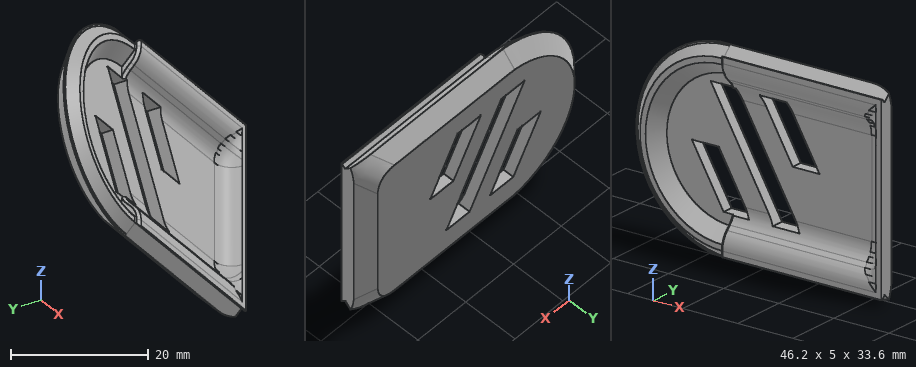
import cadquery as cq
import math

LENGTH = 46.2
WIDTH = 33.6
DEPTH = 5.0
HALF_WIDTH = WIDTH / 2
BACK_RADIUS = 16.9
SQUARE_END = LENGTH - BACK_RADIUS
BEYOND = 2 * LENGTH

RIDGE_DEPTH = 2.5
RIM_DEPTH = 4.2
LIP_FLARE = 0.6
BACK_CORNER_RADIUS = 5.0
BACK_BAND_DEPTH = 2.7
BACK_HALF_WIDTH = HALF_WIDTH - RIDGE_DEPTH
RIM_HALF_WIDTH = HALF_WIDTH - (RIM_DEPTH - RIDGE_DEPTH)
LIP_HALF_WIDTH = RIM_HALF_WIDTH + LIP_FLARE

FLOOR_THICKNESS = 2.0
WALL = 1.0
RAIL_RADIUS = 4.0
RAIL_ANGLE = math.radians(45)
MOUTH_CHAMFER = 0.45
ROUND_FLOOR_RADIUS = 11.9
POCKET_DEPTH = DEPTH - FLOOR_THICKNESS
POCKET_HALF_WIDTH = LIP_HALF_WIDTH - WALL
POCKET_END = SQUARE_END - WALL
END_FILLET = POCKET_DEPTH
FILLET_TIP = 0.02

SLOT_HALF_HEIGHT = 10.0
SLOT_WIDTH = 4.85
SLOT_PITCH = 9.15
SLOT_CENTER_X = 4.25
SLOT_LEAN = math.tan(math.radians(30))

ARC_RUN = RAIL_RADIUS * math.sin(RAIL_ANGLE)
ARC_DROP = RAIL_RADIUS * (1 - math.cos(RAIL_ANGLE))
FLAT_RUN = (POCKET_DEPTH - 2 * ARC_DROP) / math.tan(RAIL_ANGLE)
CONVEX_CENTER = (RAIL_RADIUS - DEPTH, POCKET_HALF_WIDTH)
CONCAVE_CENTER = (-FLOOR_THICKNESS - RAIL_RADIUS, POCKET_HALF_WIDTH - 2 * ARC_RUN - FLAT_RUN)


def convex_point(angle, inset=0.0):
    """Point (y, z) on the upper rail arc, where the flank slopes by angle."""
    radius = RAIL_RADIUS - inset
    y, z = CONVEX_CENTER
    return (y - radius * math.cos(angle), z - radius * math.sin(angle))


def concave_point(angle, inset=0.0):
    """Point (y, z) on the lower rail arc, where the flank slopes by angle."""
    radius = RAIL_RADIUS + inset
    y, z = CONCAVE_CENTER
    return (y + radius * math.cos(angle), z + radius * math.sin(angle))


def mirrored(points):
    """The same (y, z) points on the other side of Z = 0, in reverse order."""
    return [(y, -z) for y, z in reversed(points)]


def edge_bar(x_start, x_end):
    """Bar with the bevelled and lipped outer profile on both long sides."""
    side = [
        (0, BACK_HALF_WIDTH),
        (-RIDGE_DEPTH, HALF_WIDTH),
        (-RIM_DEPTH, RIM_HALF_WIDTH),
        (-RIM_DEPTH - LIP_FLARE, LIP_HALF_WIDTH),
        (-DEPTH, LIP_HALF_WIDTH),
    ]
    plane = cq.Workplane("YZ", origin=(x_start, 0, 0))
    return plane.polyline(side + mirrored(side)).close().extrude(x_end - x_start)


def back_envelope():
    """Block widening by 45 degrees from the back face, with its +X corners rounded."""
    back_end = SQUARE_END - RIDGE_DEPTH
    block = (
        cq.Workplane("XZ")
        .rect(2 * back_end, 2 * BACK_HALF_WIDTH)
        .workplane(offset=DEPTH)
        .rect(2 * (back_end + DEPTH), 2 * (BACK_HALF_WIDTH + DEPTH))
        .loft(ruled=True)
    )
    return block.edges("not #Y").edges(">X").fillet(BACK_CORNER_RADIUS)


def half_disc(profile):
    """The -X half of an (x, y) profile turned about the Y axis."""
    disc = cq.Workplane("XY").polyline(profile).close().revolve(360, (0, 0), (0, 1))
    left_side = cq.Workplane("XY").box(BEYOND, BEYOND, BEYOND).translate((-BEYOND / 2, 0, 0))
    return disc.intersect(left_side)


def round_end():
    """Half dish with a conical inner wall and a slightly larger back."""
    dish = half_disc([
        (0, 0),
        (BACK_HALF_WIDTH, 0),
        (HALF_WIDTH, -RIDGE_DEPTH),
        (RIM_HALF_WIDTH, -RIM_DEPTH),
        (ROUND_FLOOR_RADIUS + RIM_DEPTH - FLOOR_THICKNESS, -RIM_DEPTH),
        (ROUND_FLOOR_RADIUS, -FLOOR_THICKNESS),
        (0, -FLOOR_THICKNESS),
    ])
    back = half_disc([
        (0, 0),
        (BACK_RADIUS - RIDGE_DEPTH, 0),
        (BACK_RADIUS, -RIDGE_DEPTH),
        (BACK_RADIUS, -BACK_BAND_DEPTH),
        (BACK_HALF_WIDTH, -BACK_BAND_DEPTH),
        (BACK_HALF_WIDTH, -FLOOR_THICKNESS),
        (0, -FLOOR_THICKNESS),
    ])
    return dish.union(back.intersect(edge_bar(-LENGTH, 0)))


def pocket_section(x, inset):
    """Pocket cross-section cut inset deeper into the rails, with wings over the rail tops."""
    flank = [
        (-2 * DEPTH, WIDTH),
        (inset - DEPTH, WIDTH),
        convex_point(0, inset),
        convex_point(RAIL_ANGLE / 2, inset),
        convex_point(RAIL_ANGLE, inset),
        concave_point(RAIL_ANGLE, inset),
        concave_point(RAIL_ANGLE / 2, inset),
        concave_point(0, inset),
    ]
    start, wing, top, convex_mid, convex_end, concave_start, concave_mid, foot = flank
    far_foot, far_mid, far_start, far_end, far_convex, far_top, far_wing, far_above = mirrored(flank)
    return (
        cq.Workplane("YZ", origin=(x, 0, 0))
        .moveTo(*start)
        .lineTo(*wing)
        .lineTo(*top)
        .threePointArc(convex_mid, convex_end)
        .lineTo(*concave_start)
        .threePointArc(concave_mid, foot)
        .lineTo(*far_foot)
        .threePointArc(far_mid, far_start)
        .lineTo(*far_end)
        .threePointArc(far_convex, far_top)
        .lineTo(*far_wing)
        .lineTo(*far_above)
        .close()
    )


def pocket():
    """Pocket between the rails, chamfered where it opens into the round end."""
    straight = pocket_section(0, 0).extrude(POCKET_END)
    wide = pocket_section(0, MOUTH_CHAMFER).val()
    narrow = pocket_section(MOUTH_CHAMFER, 0).val()
    mouth = cq.Workplane(cq.Solid.makeLoft([wide, narrow], True))
    above_floor = cq.Workplane("XY").box(BEYOND, BEYOND, BEYOND)
    above_floor = above_floor.translate((0, -FLOOR_THICKNESS - BEYOND / 2, 0))
    return straight, mouth.intersect(above_floor)


def fillet_section(contact, angle):
    """Outline of the end-wall fillet above one contact point on the rail flank.

    A ball touches the flank, sloping by angle there, and the front edge of the end wall.
    """
    gap = contact[0] + DEPTH
    height = gap / math.cos(angle)
    reach = math.sqrt(END_FILLET**2 - (END_FILLET * math.cos(angle) - gap) ** 2)
    radius = (reach**2 + height**2) / (2 * height)
    half_sweep = math.atan2(reach, radius - height) / 2

    def point(from_wall, off_flank):
        y = contact[0] - off_flank * math.cos(angle)
        z = contact[1] - off_flank * math.sin(angle)
        return cq.Vector(POCKET_END - from_wall, y, z)

    foot = point(reach, 0)
    top = point(0, height)
    corner = point(0, 0)
    middle = point(reach - radius * math.sin(half_sweep), radius * (1 - math.cos(half_sweep)))
    return cq.Wire.assembleEdges([
        cq.Edge.makeThreePointArc(foot, middle, top),
        cq.Edge.makeLine(top, corner),
        cq.Edge.makeLine(corner, foot),
    ])


def end_fillets():
    """Fillet solids along the end wall: one over the floor, three up each rail flank."""
    concave = [
        fillet_section(concave_point(RAIL_ANGLE * part), RAIL_ANGLE * part)
        for part in (0, 0.5, 1)
    ]
    convex = [
        fillet_section(convex_point(RAIL_ANGLE * part), RAIL_ANGLE * part)
        for part in (1, 0.7, 0.4, FILLET_TIP)
    ]
    far_foot = concave[0].translate(cq.Vector(0, 0, -2 * CONCAVE_CENTER[1]))
    solids = [cq.Workplane(cq.Solid.makeLoft([far_foot, concave[0]], True))]
    for sections in (concave, [concave[-1], convex[0]], convex):
        flank = cq.Workplane(cq.Solid.makeLoft(sections))
        solids += [flank, flank.mirror("XY")]
    return solids


def slot(middle_x, z_top, z_bottom):
    """Leaning slot whose centre line crosses Z = 0 at middle_x."""
    top_x = middle_x - z_top * SLOT_LEAN
    bottom_x = middle_x - z_bottom * SLOT_LEAN
    half = SLOT_WIDTH / 2
    corners = [
        (top_x - half, z_top),
        (top_x + half, z_top),
        (bottom_x + half, z_bottom),
        (bottom_x - half, z_bottom),
    ]
    return cq.Workplane("XZ").polyline(corners).close().extrude(DEPTH)


result = edge_bar(0, SQUARE_END).intersect(back_envelope())
for cavity in pocket():
    result = result.cut(cavity)
result = result.union(round_end())
for fillet in end_fillets():
    result = result.union(fillet)

result = result.cut(slot(SLOT_CENTER_X, SLOT_HALF_HEIGHT, -SLOT_HALF_HEIGHT))
result = result.cut(slot(SLOT_CENTER_X + SLOT_PITCH, SLOT_HALF_HEIGHT, 0))
result = result.cut(slot(SLOT_CENTER_X - SLOT_PITCH, 0, -SLOT_HALF_HEIGHT))